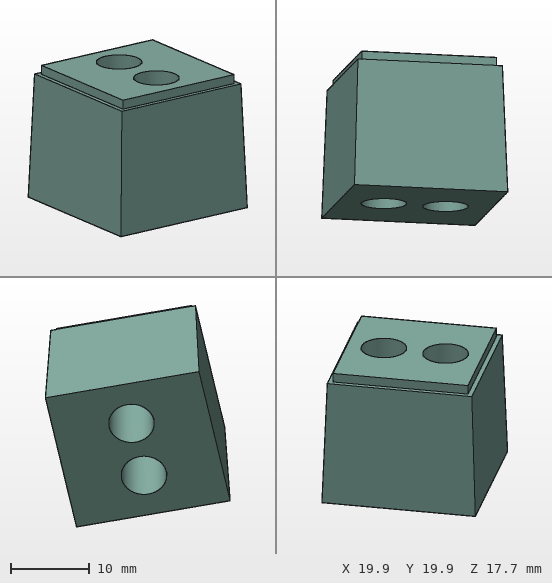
import cadquery as cq

base_side = 19.91
shoulder_side = 18.75
total_height = 17.7

step_side = 17.5
step_height = 1.2
body_height = total_height - step_height

hole_diameter = 5.77
hole_spacing = 8.0

body = (
    cq.Workplane("XY")
    .rect(base_side, base_side)
    .workplane(offset=body_height)
    .rect(shoulder_side, shoulder_side)
    .loft(ruled=True)
)

step = (
    cq.Workplane("XY", origin=(0, 0, body_height))
    .rect(step_side, step_side)
    .extrude(step_height)
)

holes = (
    cq.Workplane("XY")
    .rarray(hole_spacing, 0.2, 2, 1)
    .circle(hole_diameter / 2)
    .extrude(total_height)
)

result = body.union(step).cut(holes)